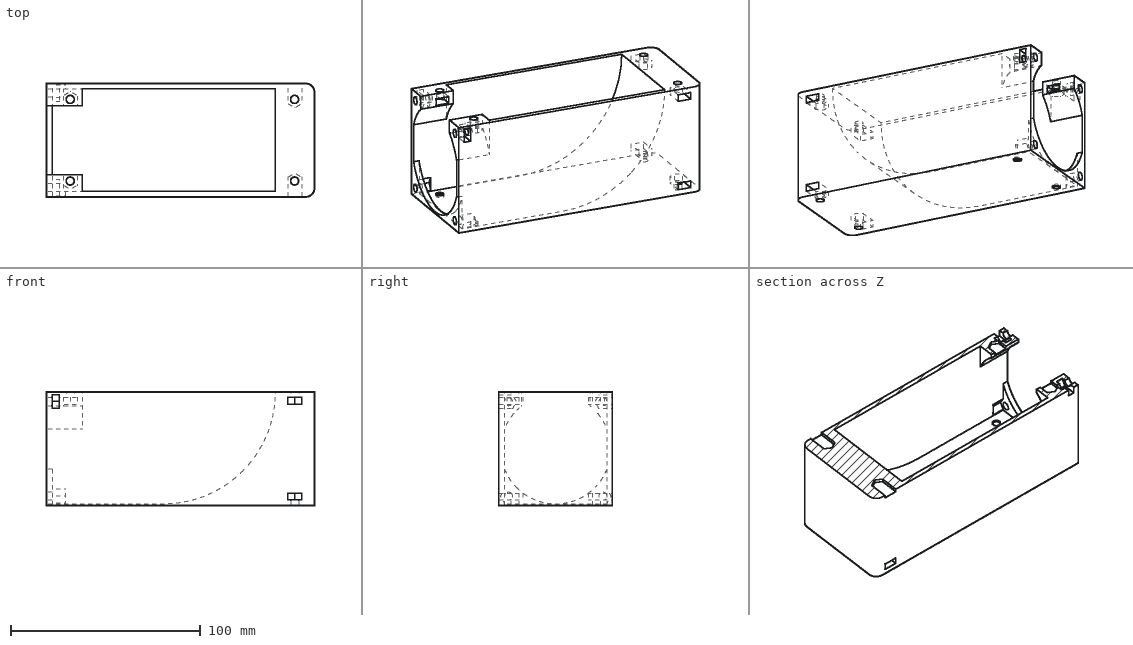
import cadquery as cq
import math

length = 141.4
width = 60.0
height = 60.0
corner_radius = 5.0

wall = 3.0
end_plate = 3.1
floor = 1.0
cavity_end = 120.6
ramp_radius = height - floor
inner_half_width = width / 2 - wall

post_length = 19.0
post_width = 11.9
post_inner_y = width / 2 - post_width
opening_radius = 29.0

hole_diameter = 4.2
end_hole_inset = 5.1
upright_hole_inset = 8.5
front_hole_x = 12.6
rear_hole_x = 130.8
nut_flats = 7.4
nut_corners = nut_flats / math.cos(math.pi / 6)
nut_thickness = 3.7
lower_recess_length = 6.8
nut_cover = 3.0
end_hole_depth = 9.0
upright_hole_depth = nut_cover + nut_thickness

end_hole_y = width / 2 - end_hole_inset
upright_hole_y = width / 2 - upright_hole_inset


def x_cylinder(diameter, depth, y, z):
    """Cylinder along X starting at the open end."""
    return cq.Workplane("YZ").center(y, z).circle(diameter / 2).extrude(depth)


def upright_hole(x, y, z):
    """Hole along Z starting at height z."""
    hole = cq.Workplane("XY").circle(hole_diameter / 2).extrude(upright_hole_depth)
    return hole.translate((x, y, z))


def box_between(x_range, y_range, z_range):
    """Axis-aligned box between pairs of limits."""
    size = [high - low for low, high in (x_range, y_range, z_range)]
    start = (x_range[0], y_range[0], z_range[0])
    return cq.Workplane("XY").box(*size, centered=False).translate(start)


def nut_slot(entry_length, thickness=nut_thickness):
    """Nut pocket with its axis on Z, its point toward -Y and an entry slot toward +Y."""
    nut = cq.Workplane("XY").polygon(6, nut_corners).extrude(thickness)
    nut = nut.rotate((0, 0, 0), (0, 0, 1), 90)
    if entry_length == 0:
        return nut
    half_flats = nut_flats / 2
    entry = box_between((-half_flats, half_flats), (0, entry_length), (0, thickness))
    return nut.union(entry)


def upright_nut(x, y, z, entry_length, entry_direction):
    """Nut pocket around an upright hole, entered toward +Y or -Y."""
    slot = nut_slot(entry_length)
    if entry_direction < 0:
        slot = slot.mirror("XZ")
    return slot.translate((x, y, z))


def end_nut(side, z, entry_length, thickness=nut_thickness):
    """Nut pocket around an end hole, just behind the end plate and entered from outside."""
    slot = nut_slot(entry_length, thickness).rotate((0, 0, 0), (0, 1, 0), 90)
    if side < 0:
        slot = slot.mirror("XZ")
    return slot.translate((end_plate, side * end_hole_y, z))


def make_block():
    """Solid block with the upright edges of the closed end rounded."""
    block = cq.Workplane("XY").box(length, width, height, centered=(False, True, False))
    return block.edges("|Z and >X").fillet(corner_radius)


def make_cavity():
    """Open-topped cavity whose flat floor rises along a quarter circle at the closed end."""
    ramp_start = cavity_end - ramp_radius
    diagonal = ramp_radius * math.sqrt(0.5)
    cavity = (
        cq.Workplane("XZ")
        .moveTo(end_plate, floor)
        .lineTo(ramp_start, floor)
        .threePointArc((ramp_start + diagonal, height - diagonal), (cavity_end, height))
        .lineTo(end_plate, height)
        .close()
        .extrude(inner_half_width, both=True)
    )
    for side in (1, -1):
        post_y = sorted((side * post_inner_y, side * width / 2))
        post = box_between((0, post_length), post_y, (height / 2, height))
        cavity = cavity.cut(post)
    return cavity


def make_opening():
    """Round opening, limited by the side walls, with a slot up through the top."""
    inner_y = (-inner_half_width, inner_half_width)
    opening = x_cylinder(2 * opening_radius, post_length, 0, height / 2)
    opening = opening.intersect(box_between((0, post_length), inner_y, (0, height)))
    lower = box_between((end_plate, post_length), inner_y, (0, height / 2))
    slot = box_between((0, end_plate), (-post_inner_y, post_inner_y), (height / 2, height))
    return opening.cut(lower).union(slot)


result = make_block().cut(make_cavity()).cut(make_opening())

top_nut_z = height - nut_cover - nut_thickness
end_hole_top_z = height - end_hole_inset
for side in (1, -1):
    for x in (front_hole_x, rear_hole_x):
        for z in (0, height - upright_hole_depth):
            result = result.cut(upright_hole(x, side * upright_hole_y, z))

    for z in (nut_cover, top_nut_z):
        result = result.cut(upright_nut(rear_hole_x, side * upright_hole_y, z, upright_hole_inset, side))

    post_entry = post_width - upright_hole_inset
    result = result.cut(upright_nut(front_hole_x, side * upright_hole_y, top_nut_z, post_entry, -side))

    for z in (end_hole_inset, end_hole_top_z):
        result = result.cut(x_cylinder(hole_diameter, end_hole_depth, side * end_hole_y, z))
    result = result.cut(end_nut(side, end_hole_top_z, end_hole_inset))
    result = result.cut(end_nut(side, end_hole_inset, 0, lower_recess_length))